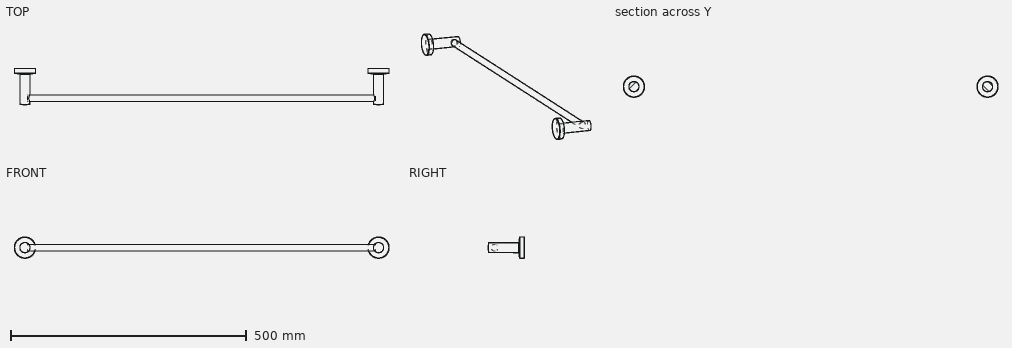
import cadquery as cq

overall_length = 795.0
overall_depth = 78.0

rose_diameter = 45.0
rose_rim_depth = 11.0
rose_bevel = 0.95
rose_cone_height = 0.95

collar_thickness = 1.0

post_tip_diameter = 21.5
post_taper = 0.4
tip_cone_height = 1.5

rail_diameter = 14.0
rail_offset = 63.5
socket_depth = 5.0

wall_y = overall_depth / 2
rail_y = wall_y - rail_offset
post_x = (overall_length - rose_diameter) / 2
rail_length = 2 * (post_x - post_tip_diameter / 2 + socket_depth)
rose_radius = rose_diameter / 2
rose_face_radius = rose_radius - rose_bevel
post_base_radius = (post_tip_diameter + post_taper) / 2
rose_face_depth = rose_rim_depth + rose_cone_height
post_base_depth = rose_face_depth + collar_thickness


def turned_body(x, profile):
    """Revolve (radius, depth from the wall) points about a Y axis through x."""
    points = [(radius, -depth) for radius, depth in profile]
    outline = cq.Workplane("XY").polyline(points).close()
    return outline.revolve(360, (0, 0, 0), (0, 1, 0)).translate((x, wall_y, 0))


def make_rose(x):
    """Wall disc with bevelled rims whose face rises gently towards the collar."""
    return turned_body(
        x,
        [
            (0, 0),
            (rose_face_radius, 0),
            (rose_radius, rose_bevel),
            (rose_radius, rose_rim_depth - rose_bevel),
            (rose_face_radius, rose_rim_depth),
            (post_base_radius, rose_face_depth),
            (0, rose_face_depth),
        ],
    )


def make_collar(x):
    """Thin disc between the rose and the post."""
    return turned_body(
        x,
        [
            (0, rose_face_depth),
            (post_base_radius, rose_face_depth),
            (post_base_radius, post_base_depth),
            (0, post_base_depth),
        ],
    )


def make_rail():
    """Straight round bar whose ends sit inside the posts."""
    plane = cq.Workplane("YZ", origin=(-rail_length / 2, rail_y, 0))
    return plane.circle(rail_diameter / 2).extrude(rail_length)


def make_post(x, rail):
    """Tapered post with a conical tip and a blind socket for the rail end."""
    post = turned_body(
        x,
        [
            (0, post_base_depth),
            (post_base_radius, post_base_depth),
            (post_tip_diameter / 2, overall_depth - tip_cone_height),
            (0, overall_depth),
        ],
    )
    return post.cut(rail)


rail = make_rail()
bodies = [rail.val()]
for x in (-post_x, post_x):
    bodies.append(make_rose(x).val())
    bodies.append(make_collar(x).val())
    bodies.append(make_post(x, rail).val())

result = cq.Compound.makeCompound(bodies)